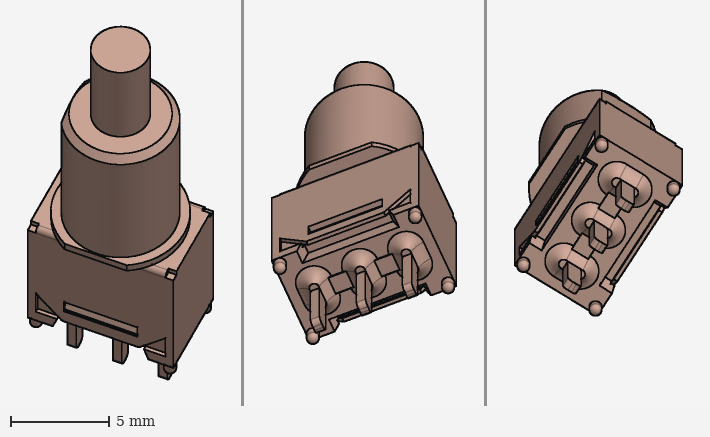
import cadquery as cq

TOTAL_HEIGHT = 24.95
HOUSING_BOTTOM = 4.1
HOUSING_TOP = 11.45
WASHER_TOP = 11.9
BUSHING_TOP = 19.8

HOUSING_LENGTH = 8.14
HOUSING_WIDTH = 5.0
TOP_ROUND = 0.3
FRAME_WIDTH = 0.45
CORNER_NOTCH_WIDTH = 0.4

FOOT_HEIGHT = 0.7
COVER_BOTTOM_HALF = 2.15
CORNER_POCKET_DEPTH = 0.22
OPENING_DEPTH = 0.75
OPENING_HALF = 2.67
OPENING_LEAN = 0.32

WINDOW_LENGTH = 4.1
WINDOW_BOTTOM = 5.62
WINDOW_HEIGHT = 0.75
WINDOW_DEPTH = 0.37
TOOTH_HEIGHT = 0.12
TOOTH_SETBACK = 0.05

WASHER_DIAMETER = 7.11
WASHER_FLATS = 6.22
BUSHING_DIAMETER = 6.07
BUSHING_FLAT = 2.65
BUSHING_CHAMFER = 0.4
PLUNGER_DIAMETER = 3.05

PIN_PITCH = 2.55
PIN_THICKNESS = 0.5
PIN_WIDTH = 0.8
PIN_END_ROUND = 0.3
COLLAR_BOTTOM = 3.47
COLLAR_END_OFFSET = 0.5
COLLAR_TOP_RADIUS = 0.95
COLLAR_MID_RADIUS = 0.5
COLLAR_MID_HEIGHT = 3.82
SEAL_WEB_THICKNESS = 0.07
PEG_DIAMETER = 0.65
PEG_TIP = 3.3

HALF_LENGTH = HOUSING_LENGTH / 2
HALF_WIDTH = HOUSING_WIDTH / 2
FOOT_TOP = HOUSING_BOTTOM + FOOT_HEIGHT
PIN_POSITIONS = (-PIN_PITCH, 0, PIN_PITCH)
PEG_X = HALF_LENGTH - PEG_DIAMETER / 2
PEG_Y = HALF_WIDTH - PEG_DIAMETER / 2


def block(length, width, bottom, top, x=0, y=0):
    """Upright box centred on (x, y)."""
    return cq.Workplane("XY", origin=(x, y, bottom)).rect(length, width).extrude(top - bottom)


def cylinder(diameter, bottom, top):
    """Upright cylinder on the main axis."""
    return cq.Workplane("XY").workplane(offset=bottom).circle(diameter / 2).extrude(top - bottom)


def on_both_faces(cutter):
    """The cutter for the -Y face together with its mirror image for the +Y face."""
    return cutter.union(cutter.mirror("XZ"))


def front_face():
    """Sketch plane on the -Y face; extruding by a negative length goes into the housing."""
    return cq.Workplane("XZ", origin=(0, -HALF_WIDTH, 0))


def bottom_opening():
    """Opening between the leaning foot ends, reaching up behind the cover to its slanted corners."""
    top_half = OPENING_HALF - OPENING_LEAN
    top = FOOT_TOP + top_half - COVER_BOTTOM_HALF
    opening = (
        front_face()
        .moveTo(-OPENING_HALF, HOUSING_BOTTOM)
        .lineTo(-top_half, top)
        .lineTo(top_half, top)
        .lineTo(OPENING_HALF, HOUSING_BOTTOM)
        .close()
        .extrude(-OPENING_DEPTH)
    )
    cover_y = -HALF_WIDTH + CORNER_POCKET_DEPTH / 2
    return opening.cut(block(HOUSING_LENGTH, CORNER_POCKET_DEPTH, FOOT_TOP, HOUSING_TOP, y=cover_y))


def corner_pocket(side):
    """Triangular pocket between the cover's 45 degree corner, a side plate and a foot."""
    outer = HALF_LENGTH - FRAME_WIDTH
    leg = outer - COVER_BOTTOM_HALF
    return (
        front_face()
        .moveTo(side * outer, FOOT_TOP)
        .lineTo(side * COVER_BOTTOM_HALF, FOOT_TOP)
        .lineTo(side * outer, FOOT_TOP + leg)
        .close()
        .extrude(-CORNER_POCKET_DEPTH)
    )


def snap_window():
    """Window with a sloping snap tooth left standing in it."""
    face = -HALF_WIDTH
    return (
        cq.Workplane("YZ", origin=(-WINDOW_LENGTH / 2, 0, WINDOW_BOTTOM))
        .moveTo(face, 0)
        .lineTo(face + TOOTH_SETBACK, 0)
        .lineTo(face + TOOTH_SETBACK, TOOTH_HEIGHT)
        .lineTo(face + WINDOW_DEPTH, WINDOW_HEIGHT)
        .lineTo(face, WINDOW_HEIGHT)
        .close()
        .extrude(WINDOW_LENGTH)
    )


def housing():
    """Housing with rounded long top edges, notched top corners and details on both long faces."""
    body = block(HOUSING_LENGTH, HOUSING_WIDTH, HOUSING_BOTTOM, HOUSING_TOP)
    body = body.faces(">Z").edges("|X").fillet(TOP_ROUND)
    notch_x = HALF_LENGTH - FRAME_WIDTH / 2
    notch_y = HALF_WIDTH - CORNER_NOTCH_WIDTH / 2
    for x in (-notch_x, notch_x):
        for y in (-notch_y, notch_y):
            notch = block(FRAME_WIDTH, CORNER_NOTCH_WIDTH, HOUSING_TOP - TOP_ROUND, HOUSING_TOP, x, y)
            body = body.cut(notch)
    for cutter in (bottom_opening(), corner_pocket(-1), corner_pocket(1), snap_window()):
        body = body.cut(on_both_faces(cutter))
    return body


def washer():
    disc = cylinder(WASHER_DIAMETER, HOUSING_TOP, WASHER_TOP)
    return disc.intersect(block(WASHER_DIAMETER, WASHER_FLATS, HOUSING_TOP, WASHER_TOP))


def bushing():
    barrel = cylinder(BUSHING_DIAMETER, WASHER_TOP, BUSHING_TOP).faces(">Z").chamfer(BUSHING_CHAMFER)
    cut_centre = -BUSHING_FLAT - BUSHING_DIAMETER / 2
    beyond_flat = block(BUSHING_DIAMETER, BUSHING_DIAMETER, WASHER_TOP, BUSHING_TOP, x=cut_centre)
    return barrel.cut(beyond_flat)


def terminal(x):
    pin = block(PIN_THICKNESS, PIN_WIDTH, 0, HOUSING_BOTTOM, x)
    return pin.faces("<Z").edges("|X").fillet(PIN_END_ROUND)


def collar_profile():
    """Half section of a concave sealing collar, from the terminal's middle outwards."""
    return (
        cq.Workplane("XZ")
        .moveTo(0, COLLAR_BOTTOM)
        .lineTo(PIN_THICKNESS / 2, COLLAR_BOTTOM)
        .threePointArc((COLLAR_MID_RADIUS, COLLAR_MID_HEIGHT), (COLLAR_TOP_RADIUS, HOUSING_BOTTOM))
        .lineTo(0, HOUSING_BOTTOM)
        .close()
    )


def collar():
    """Sealing compound creeping down a terminal: a straight middle with two round ends."""
    half_middle = collar_profile().extrude(COLLAR_END_OFFSET, both=True)
    shape = half_middle.union(half_middle.mirror("YZ"))
    round_end = collar_profile().revolve(360, (0, 0, 0), (0, 1, 0))
    for y in (-COLLAR_END_OFFSET, COLLAR_END_OFFSET):
        shape = shape.union(round_end.translate((0, y, 0)))
    return shape


def seal():
    """Collars at all terminals, joined by a thin web."""
    web_length = PIN_POSITIONS[-1] - PIN_POSITIONS[0]
    shape = block(web_length, 2 * COLLAR_END_OFFSET, HOUSING_BOTTOM - SEAL_WEB_THICKNESS, HOUSING_BOTTOM)
    for x in PIN_POSITIONS:
        shape = shape.union(collar().translate((x, 0, 0)))
    return shape


def peg(x, y):
    radius = PEG_DIAMETER / 2
    return (
        cq.Workplane("XZ", origin=(x, y, 0))
        .moveTo(0, HOUSING_BOTTOM)
        .lineTo(radius, HOUSING_BOTTOM)
        .lineTo(radius, PEG_TIP + radius)
        .radiusArc((0, PEG_TIP), radius)
        .close()
        .revolve(360, (0, 0, 0), (0, 1, 0))
    )


result = housing().union(washer()).union(bushing())
result = result.union(cylinder(PLUNGER_DIAMETER, BUSHING_TOP, TOTAL_HEIGHT)).union(seal())
for pin_x in PIN_POSITIONS:
    result = result.union(terminal(pin_x))
for peg_x in (-PEG_X, PEG_X):
    for peg_y in (-PEG_Y, PEG_Y):
        result = result.union(peg(peg_x, peg_y))